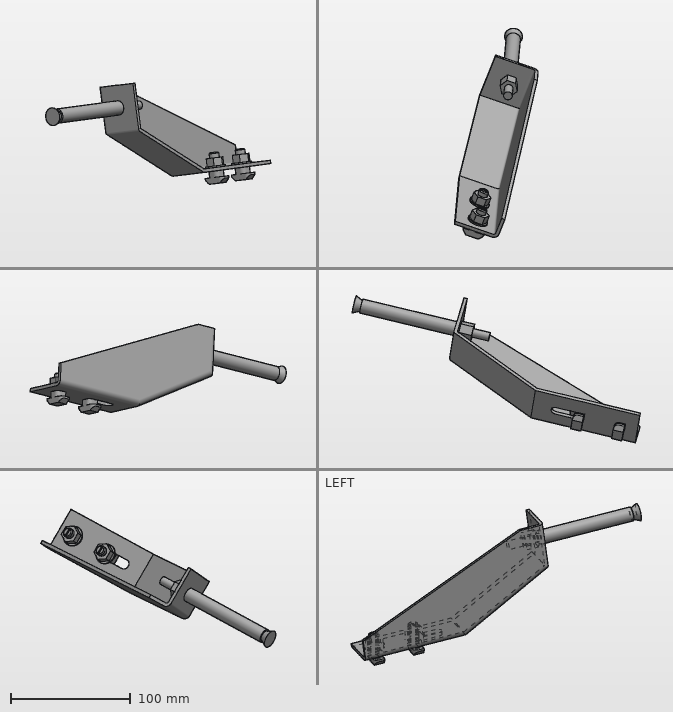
import cadquery as cq
import math

TILT_AXIS = (-0.64, -1.28, 1.0)
TILT_ANGLE = 30
REAR_CORNER = (-27.5, 108.0, -65.0)
ALONG_Y = 90

SHEET = 3.0
BEND_RADIUS = 4.8
CORNER_RADIUS = 2.0
WIDTH = 38.0
BASE_LENGTH = 89.6
LENGTH = 169.0
SLOPE_ANGLE = 27.7
HEIGHT = 81.6
REAR_HEIGHT = 19.1
TOP_FLAT = 20.8
MIDDLE = WIDTH / 2

BOLT_SPACING = 35.1
BOLT_REAR = 14.8
REAR_PLACE = -BOLT_REAR
FRONT_PLACE = REAR_PLACE - BOLT_SPACING
BOLT_PLACES = [REAR_PLACE, FRONT_PLACE]
BOLT_RADIUS = 4.0
BOLT_TOP = 15.5
BOLT_CHAMFER = 1.0
SCREW_SLOT_WIDTH = 0.7
SCREW_SLOT_DEPTH = 1.0
NECK_SIZE = 8.7
HEAD_LENGTH = 18.5
HEAD_HEIGHT = 5.3
HEAD_BOTTOM = -10.7
HEAD_BEVEL = 3.6
TURNING_RADIUS = 3.6
TURNING_CORNERS = "|Z and ((>X and <Y) or (<X and >Y))"
ADJUSTMENT = 19.9
NUT_HEIGHT = 8.0
NUT_FLATS = 13.0
NUT_FLANGE_RADIUS = 8.5
NUT_FLANGE_HEIGHT = 1.2

ANCHOR_HEIGHT = 62.7
SLEEVE_RADIUS = 6.0
SLEEVE_END = 251.0
CONE_END = 257.0
CONE_SMALL_RADIUS = 4.5
CONE_LARGE_RADIUS = 7.5
STUD_RADIUS = 3.6
STUD_TIP = 141.0
ANCHOR_NUT_HEIGHT = 11.0
ANCHOR_NUT_FLATS = 13.0


def hexagon_prism(plane, flats, height):
    """Hexagonal prism standing on `plane`, with `flats` between opposite sides."""
    across_corners = flats / math.cos(math.pi / 6)
    return plane.polygon(6, across_corners).extrude(height)


def anchor_plane(distance):
    """Plane across the anchor axis at a distance from the bracket's rear edge, facing away from it."""
    return cq.Workplane("XZ", origin=(MIDDLE, -distance, ANCHOR_HEIGHT))


def base_plane(place, height):
    """Plane parallel to the base, centred on the bolt at `place`."""
    return cq.Workplane("XY", origin=(MIDDLE, place, height))


def bracket_block(inset):
    """Full block within the flanges, its sides lying `inset` inside the outer sheet faces."""
    slope = math.radians(SLOPE_ANGLE)
    bend = BASE_LENGTH - inset * math.tan(slope / 2)
    front = LENGTH - inset
    front_bottom = inset + (front - bend) * math.tan(slope)
    block = (
        cq.Workplane("YZ", origin=(inset, 0, 0))
        .moveTo(0, inset)
        .lineTo(-bend, inset)
        .lineTo(-front, front_bottom)
        .lineTo(-front, HEIGHT)
        .lineTo(TOP_FLAT - LENGTH, HEIGHT)
        .lineTo(0, REAR_HEIGHT)
        .close()
        .extrude(WIDTH - inset)
    )
    bend_middles = [
        (inset, -bend / 2, inset),
        (inset, -(bend + front) / 2, (inset + front_bottom) / 2),
        (inset, -front, (front_bottom + HEIGHT) / 2),
    ]
    bend_edges = [block.edges(cq.selectors.NearestToPointSelector(p)).val() for p in bend_middles]
    return block.newObject(bend_edges).fillet(BEND_RADIUS - inset)


def make_bracket():
    """Sheet side plate with base, sloping and front flanges, pierced for the bolts and the anchor."""
    outer = bracket_block(0)
    front_bottom = (LENGTH - BASE_LENGTH) * math.tan(math.radians(SLOPE_ANGLE))
    front_edge = cq.selectors.NearestToPointSelector((MIDDLE, -LENGTH, front_bottom))
    sheet = outer.edges(front_edge).fillet(CORNER_RADIUS).cut(bracket_block(SHEET))

    round_hole = base_plane(REAR_PLACE, 0).circle(BOLT_RADIUS).extrude(SHEET)
    slot = (
        base_plane(FRONT_PLACE - ADJUSTMENT / 2, 0)
        .slot2D(ADJUSTMENT + 2 * BOLT_RADIUS, 2 * BOLT_RADIUS, ALONG_Y)
        .extrude(SHEET)
    )
    anchor_hole = anchor_plane(LENGTH - SHEET).circle(STUD_RADIUS).extrude(SHEET)
    return sheet.cut(round_hole).cut(slot).cut(anchor_hole)


def make_anchor():
    """Sleeve anchor: stud through the front flange with its nut inside, sleeve and cone outside."""
    stud = anchor_plane(STUD_TIP).circle(STUD_RADIUS).extrude(LENGTH - STUD_TIP)
    inner_face = LENGTH - SHEET
    nut = hexagon_prism(anchor_plane(inner_face - ANCHOR_NUT_HEIGHT), ANCHOR_NUT_FLATS, ANCHOR_NUT_HEIGHT)
    sleeve = anchor_plane(LENGTH).circle(SLEEVE_RADIUS).extrude(SLEEVE_END - LENGTH)
    cone = (
        anchor_plane(SLEEVE_END)
        .circle(CONE_SMALL_RADIUS)
        .workplane(offset=CONE_END - SLEEVE_END)
        .circle(CONE_LARGE_RADIUS)
        .loft()
    )
    return stud.union(nut).union(sleeve).union(cone)


def head_bevels(place):
    """Block round a bolt head whose lower end edges are cut away at 45 degrees."""
    block = base_plane(place, HEAD_BOTTOM).rect(HEAD_LENGTH, NECK_SIZE).extrude(HEAD_HEIGHT)
    return block.edges("|Y and <Z").chamfer(HEAD_BEVEL)


def make_rail_bolt(place):
    """Hammer-head bolt: two diagonal corners of neck and head are rounded so it can turn in the rail."""
    shank = (
        base_plane(place, 0)
        .circle(BOLT_RADIUS)
        .extrude(BOLT_TOP)
        .faces(">Z")
        .chamfer(BOLT_CHAMFER)
    )
    screw_slot = base_plane(place, BOLT_TOP - SCREW_SLOT_DEPTH).rect(2 * BOLT_RADIUS, SCREW_SLOT_WIDTH)
    neck = base_plane(place, HEAD_BOTTOM).rect(NECK_SIZE, NECK_SIZE).extrude(-HEAD_BOTTOM)
    head = base_plane(place, HEAD_BOTTOM).rect(HEAD_LENGTH, NECK_SIZE).extrude(HEAD_HEIGHT)
    neck = neck.edges(TURNING_CORNERS).fillet(TURNING_RADIUS)
    head = head.edges(TURNING_CORNERS).fillet(TURNING_RADIUS).intersect(head_bevels(place))
    return shank.cut(screw_slot.extrude(SCREW_SLOT_DEPTH)).union(neck).union(head)


def make_flange_nut(place):
    """Hexagon nut with a round flange, sitting on the base."""
    flange = base_plane(place, SHEET).circle(NUT_FLANGE_RADIUS).extrude(NUT_FLANGE_HEIGHT)
    nut = hexagon_prism(base_plane(place, SHEET), NUT_FLATS, NUT_HEIGHT)
    bore = base_plane(place, SHEET).circle(BOLT_RADIUS).extrude(NUT_HEIGHT)
    return flange.union(nut).cut(bore)


def placed(body):
    """Tilt a body about the common axis and move it to its final place."""
    return body.rotate((0, 0, 0), TILT_AXIS, TILT_ANGLE).translate(REAR_CORNER).val()


bracket = placed(make_bracket())
anchor = placed(make_anchor())
rail_bolts = [placed(make_rail_bolt(place)) for place in BOLT_PLACES]
flange_nuts = [placed(make_flange_nut(place)) for place in BOLT_PLACES]

result = cq.Compound.makeCompound([bracket, anchor, *rail_bolts, *flange_nuts])